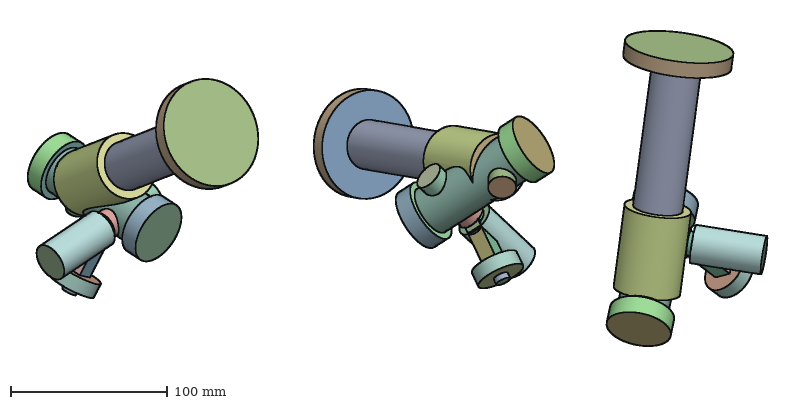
import cadquery as cq
import math

run_length = 97.0
run_diameter = 33.0
cap_diameter = 41.91
cap_thickness = 12.0

branch_start_x = 29.0
branch_angle = 45.0
branch_length = 163.0
sleeve_diameter = 43.0
sleeve_length = 55.0
tube_diameter = 32.0
disk_diameter = 70.0
disk_thickness = 10.0

drain_x = 26.0
drain_diameter = 18.0

cross_x = 68.0
cross_boss_diameter = 19.0
cross_boss_front = 20.0
neck_diameter = 16.0
handle_diameter = 24.98
handle_length = 46.0

boss_reach = 23.0

arm_start_y = -22.0
arm_angle = 50.0
arm_length = 32.8
arm_width = 10.7
arm_depth = 12.0
wheel_diameter = 31.76
wheel_thickness = 10.0
stub_diameter = 10.0
stub_length = 4.0


def rod(start, direction, offset, length, diameter):
    """Cylinder along direction, beginning at an offset from the start point."""
    axis = cq.Vector(*direction)
    base = cq.Vector(*start) + axis * offset
    return cq.Workplane(obj=cq.Solid.makeCylinder(diameter / 2, length, base, axis))


def make_run():
    origin = (0, 0, 0)
    along = (1, 0, 0)
    run = rod(origin, along, 0, run_length, run_diameter)
    for cap_start in (0, run_length - cap_thickness):
        run = run.union(rod(origin, along, cap_start, cap_thickness, cap_diameter))
    return run


def make_branch():
    slope = math.radians(branch_angle)
    start = (branch_start_x, 0, 0)
    along = (math.cos(slope), 0, math.sin(slope))
    sleeve = rod(start, along, 0, sleeve_length, sleeve_diameter)
    tube = rod(start, along, 0, branch_length, tube_diameter)
    disk = rod(start, along, branch_length - disk_thickness, disk_thickness, disk_diameter)
    return sleeve.union(tube).union(disk)


def make_drain():
    return rod((drain_x, 0, 0), (0, 0, -1), 0, boss_reach, drain_diameter)


def make_handle():
    start = (cross_x, 0, 0)
    forward = (0, -1, 0)
    boss_length = boss_reach + cross_boss_front
    boss = rod(start, forward, -boss_reach, boss_length, cross_boss_diameter)
    neck = rod(start, forward, 0, boss_reach, neck_diameter)
    handle = rod(start, forward, boss_reach, handle_length, handle_diameter)
    return boss.union(neck).union(handle)


def make_lever():
    slope = math.radians(arm_angle)
    start = (cross_x, arm_start_y, 0)
    along = (0, -math.cos(slope), -math.sin(slope))
    arm_plane = cq.Plane(origin=start, xDir=(1, 0, 0), normal=along)
    arm = cq.Workplane(arm_plane).rect(arm_width, arm_depth).extrude(arm_length)
    wheel = rod(start, along, arm_length, wheel_thickness, wheel_diameter)
    stub = rod(start, along, arm_length + wheel_thickness, stub_length, stub_diameter)
    return arm.union(wheel).union(stub)


result = make_run().union(make_branch()).union(make_drain()).union(make_handle()).union(make_lever())